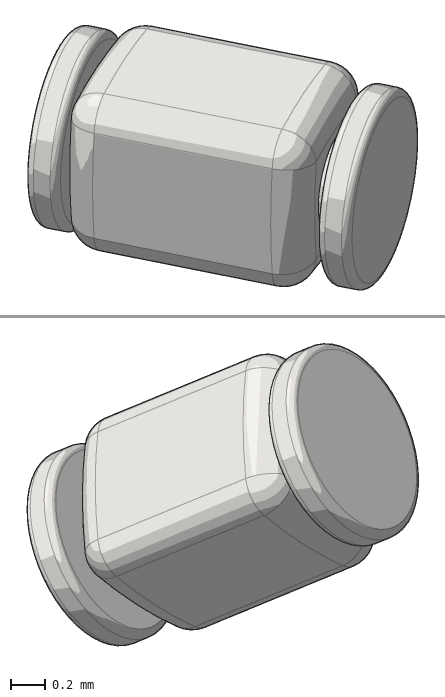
import cadquery as cq

overall_length = 2.0
cap_diameter = 1.2
cap_thickness = 0.2
cap_edge_radius = 0.048

stem_diameter = 0.6
stem_length = 0.1

body_length = overall_length - 2 * cap_thickness - stem_length
body_half_width = 0.56
body_corner_offset = 0.51
body_edge_radius = 0.2


def make_cap(start_x):
    """Disc with both rims rounded, running in +X from start_x."""
    return (
        cq.Workplane("YZ", origin=(start_x, 0, 0))
        .circle(cap_diameter / 2)
        .extrude(cap_thickness)
        .edges()
        .fillet(cap_edge_radius)
    )


def make_stemmed_cap(start_x):
    """Cap with a stem that reaches back in -X to the body's end face."""
    stem = (
        cq.Workplane("YZ", origin=(start_x, 0, 0))
        .circle(stem_diameter / 2)
        .extrude(-stem_length)
    )
    return make_cap(start_x).union(stem)


def make_body(start_x):
    """Block with four arched sides and every edge rounded."""
    corner = body_corner_offset
    crown = body_half_width
    block = (
        cq.Workplane("YZ", origin=(start_x, 0, 0))
        .moveTo(-corner, -corner)
        .threePointArc((0, -crown), (corner, -corner))
        .threePointArc((crown, 0), (corner, corner))
        .threePointArc((0, crown), (-corner, corner))
        .threePointArc((-crown, 0), (-corner, -corner))
        .close()
        .extrude(body_length)
    )
    return block.edges().fillet(body_edge_radius)


left_x = -overall_length / 2
right_cap_x = overall_length / 2 - cap_thickness

left_cap = make_cap(left_x)
body = make_body(left_x + cap_thickness)
right_cap = make_stemmed_cap(right_cap_x)

result = cq.Compound.makeCompound([left_cap.val(), body.val(), right_cap.val()])